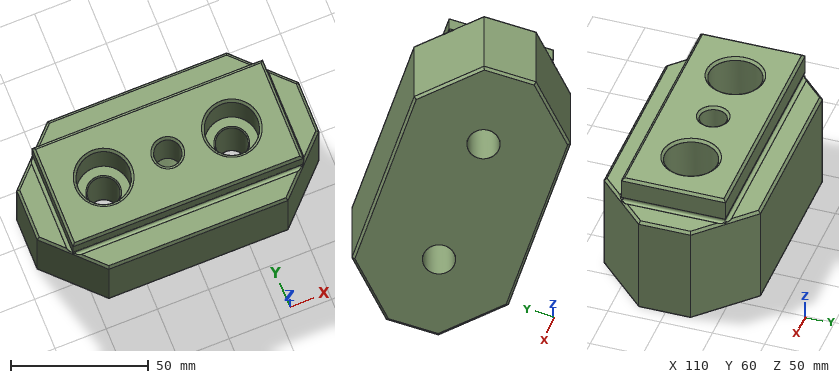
import cadquery as cq

length = 110.0
width = 60.0
height = 50.0
corner_cut = 20.0
edge_chamfer = 1.0

platform_height = 10.0
platform_inset = corner_cut / 2
platform_length = length - 2 * platform_inset
platform_width = width - 2 * platform_inset
base_height = height - platform_height

relief_radius = 1.0
relief_offset = 0.5

hole_spacing = 50.0
through_diameter = 12.0
through_rim_diameter = 13.0
counterbore_diameter = 20.0
counterbore_depth = 20.0

blind_diameter = 10.2
blind_depth = 25.0
drill_point_height = 3.1


def make_base():
    base = cq.Workplane("XY").box(length, width, base_height, centered=(True, True, False))
    base = base.edges("|Z").chamfer(corner_cut)
    return base.faces("<Z or >Z").edges().chamfer(edge_chamfer)


def make_platform():
    platform = cq.Workplane("XY").workplane(offset=base_height)
    platform = platform.rect(platform_length, platform_width).extrude(platform_height)
    platform = platform.faces(">Z").edges().chamfer(edge_chamfer)
    root = cq.Workplane("XY").workplane(offset=base_height - edge_chamfer)
    return platform.union(root.rect(platform_length, platform_width).extrude(edge_chamfer))


def make_relief_grooves():
    axis_z = base_height + relief_offset
    axis_x = platform_length / 2 + relief_offset
    axis_y = platform_width / 2 + relief_offset
    grooves = cq.Workplane("XY")
    for side in (-1, 1):
        along_x = cq.Workplane("YZ").center(side * axis_y, axis_z).circle(relief_radius)
        along_y = cq.Workplane("XZ").center(side * axis_x, axis_z).circle(relief_radius)
        grooves = grooves.add(along_x.extrude(length / 2, both=True))
        grooves = grooves.add(along_y.extrude(width / 2, both=True))
    return grooves.combine()


def revolve_profile(points, x):
    """Turn a radius-height outline about a vertical axis at the given x."""
    cutter = cq.Workplane("XZ").polyline(points).close().revolve(360, (0, 0, 0), (0, 1, 0))
    return cutter.translate((x, 0, 0))


def make_counterbored_hole(x):
    through_radius = through_diameter / 2
    rim_radius = through_rim_diameter / 2
    bore_radius = counterbore_diameter / 2
    floor_z = height - counterbore_depth
    outline = [
        (0, 0),
        (through_radius, 0),
        (through_radius, floor_z - (rim_radius - through_radius)),
        (rim_radius, floor_z),
        (bore_radius, floor_z),
        (bore_radius, height - edge_chamfer),
        (bore_radius + edge_chamfer, height),
        (0, height),
    ]
    return revolve_profile(outline, x)


def make_blind_hole():
    radius = blind_diameter / 2
    floor_z = height - blind_depth
    outline = [
        (0, floor_z - drill_point_height),
        (radius, floor_z),
        (radius, height - edge_chamfer),
        (radius + edge_chamfer, height),
        (0, height),
    ]
    return revolve_profile(outline, 0)


result = make_base().union(make_platform()).cut(make_relief_grooves())
for hole_x in (-hole_spacing / 2, hole_spacing / 2):
    result = result.cut(make_counterbored_hole(hole_x))
result = result.cut(make_blind_hole())